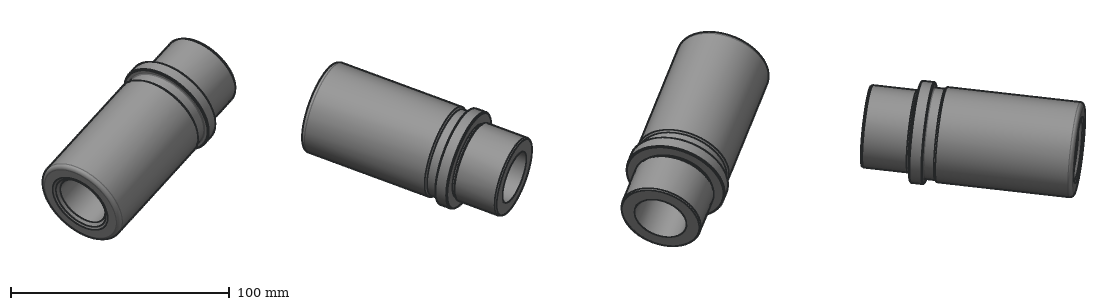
import cadquery as cq
import math

length = 98.0

body_radius = 22.0
neck_radius = 21.1
flange_radius = 23.5
relief_radius = 17.9
spigot_radius = 19.0

body_end = 63.0
flange_front = 68.9
flange_back = 75.2
spigot_start = 76.8

front_fillet = 2.0
flange_chamfer = 0.5
neck_root_fillet = 0.3
relief_taper = 0.7
spigot_lead_length = 0.9
spigot_lead_depth = 0.5

bore_radius = 12.4
mouth_radius = 15.3
mouth_fillet = 2.0
countersink_angle = math.radians(45)

countersink_radius = mouth_radius - mouth_fillet * math.sin(countersink_angle)
countersink_start = mouth_fillet * (1 - math.cos(countersink_angle))
countersink_end = countersink_start + (countersink_radius - bore_radius) * math.tan(countersink_angle)

groove_start = 9.7
groove_width = 1.3
groove_depth = 0.7

body_chamfer = body_radius - neck_radius


def make_outside():
    """Revolve the stepped outside profile, drawn as (radius, Y), about the Y axis."""
    profile = (
        cq.Workplane("XY")
        .moveTo(0, 0)
        .lineTo(body_radius - front_fillet, 0)
        .radiusArc((body_radius, front_fillet), -front_fillet)
        .lineTo(body_radius, body_end)
        .lineTo(neck_radius, body_end + body_chamfer)
        .lineTo(neck_radius, flange_front - neck_root_fillet)
        .radiusArc((neck_radius + neck_root_fillet, flange_front), neck_root_fillet)
        .lineTo(flange_radius - flange_chamfer, flange_front)
        .lineTo(flange_radius, flange_front + flange_chamfer)
        .lineTo(flange_radius, flange_back - flange_chamfer)
        .lineTo(flange_radius - flange_chamfer, flange_back)
        .lineTo(relief_radius, flange_back)
        .lineTo(relief_radius, spigot_start - relief_taper)
        .lineTo(spigot_radius, spigot_start)
        .lineTo(spigot_radius, length - spigot_lead_length)
        .lineTo(spigot_radius - spigot_lead_depth, length)
        .lineTo(0, length)
        .close()
    )
    return profile.revolve(360, (0, 0, 0), (0, 1, 0))


def make_bore():
    """Through bore with a rounded countersink at the front."""
    profile = (
        cq.Workplane("XY")
        .moveTo(0, 0)
        .lineTo(mouth_radius, 0)
        .radiusArc((countersink_radius, countersink_start), -mouth_fillet)
        .lineTo(bore_radius, countersink_end)
        .lineTo(bore_radius, length)
        .lineTo(0, length)
        .close()
    )
    return profile.revolve(360, (0, 0, 0), (0, 1, 0))


def make_crescent_groove():
    """Disc as wide as the bore, raised so that only its upper rim cuts the wall."""
    return (
        cq.Workplane("XZ", origin=(0, groove_start, groove_depth))
        .circle(bore_radius)
        .extrude(-groove_width)
    )


result = make_outside().cut(make_bore()).cut(make_crescent_groove())